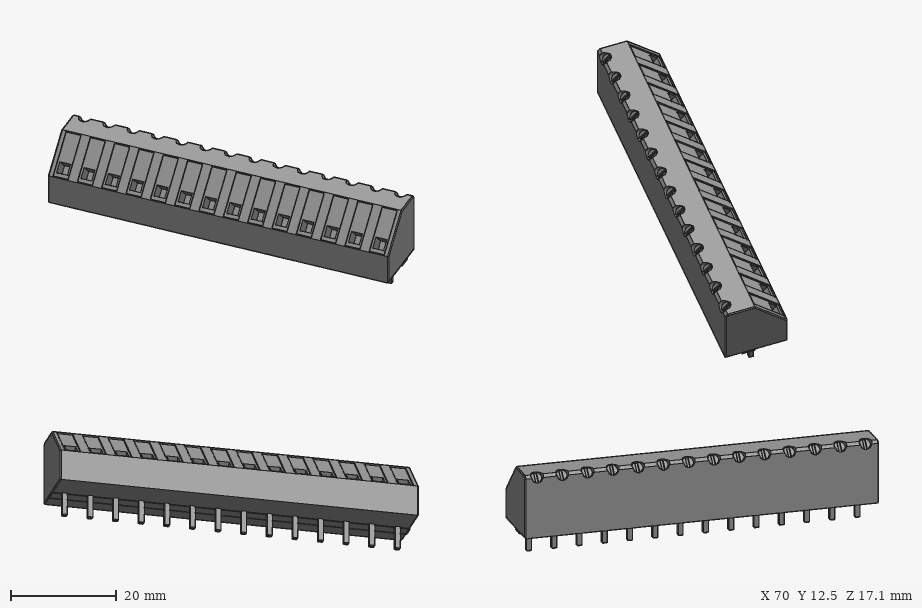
import cadquery as cq
import math

length = 70.0
depth = 12.5
total_height = 17.1
pole_count = 14
pitch = length / pole_count
pin_drop = 4.55
foot_height = 0.15
body_height = total_height - pin_drop
slope_drop = 6.5
end_chamfer = 0.2
back_chamfer = 0.55

front_y = -depth / 2
back_y = depth / 2
slope_center = (0, front_y + slope_drop / 2, body_height - slope_drop / 2)
slope_length = slope_drop * math.sqrt(2)

channel_width = 3.1
channel_depth = 0.3
channel_end_gap = 0.2
window_width = 2.25
window_height = 2.2
window_depth = 3.5
window_offset = 2.5

screw_hole_diameter = 2.45
screw_diameter = 2.2
screw_hole_depth = 1.75
screw_recess = 0.85
screw_shift = 0.15
screw_slot_width = 0.55
screw_slot_depth = 0.4

pin_width = 1.0
pin_thickness = 0.85
pin_chamfer = 0.175
pin_y = back_y - 5.95
pin_overlap = 0.7
foot_width = 2.65
foot_y = back_y - 4.7


def points_at_poles(offset):
    """Sketch points spaced along the housing, one per pole, at the given second coordinate."""
    return [((i - (pole_count - 1) / 2) * pitch, offset) for i in range(pole_count)]


def make_housing():
    body = (
        cq.Workplane("YZ")
        .moveTo(front_y, 0)
        .lineTo(back_y, 0)
        .lineTo(back_y, body_height - back_chamfer)
        .lineTo(back_y - back_chamfer, body_height)
        .lineTo(front_y + slope_drop, body_height)
        .lineTo(front_y, body_height - slope_drop)
        .close()
        .extrude(length / 2, both=True)
    )
    return body.faces("<X or >X").chamfer(end_chamfer)


def pole_boxes(plane, sketch_offset, width, height, reach):
    """Boxes of the given section at every pole, extruded along the plane normal."""
    points = points_at_poles(sketch_offset)
    return cq.Workplane(plane).pushPoints(points).rect(width, height).extrude(reach)


def cut_slope(body):
    plane = cq.Plane(origin=slope_center, xDir=(1, 0, 0), normal=(0, -1, 1))
    channel_length = slope_length - 2 * channel_end_gap
    channels = pole_boxes(plane, 0, channel_width, channel_length, -channel_depth)
    windows = pole_boxes(plane, -window_offset, window_width, window_height, -window_depth)
    return body.cut(channels).cut(windows)


def fit_screws(body):
    edge_middle = (0, back_y - back_chamfer / 2, body_height - back_chamfer / 2)
    plane = cq.Plane(origin=edge_middle, xDir=(1, 0, 0), normal=(0, 1, 1))
    points = points_at_poles(-screw_shift)
    holes = (
        cq.Workplane(plane)
        .workplane(offset=-screw_hole_depth)
        .pushPoints(points)
        .circle(screw_hole_diameter / 2)
        .extrude(screw_hole_depth + screw_hole_diameter)
    )
    screws = (
        cq.Workplane(plane)
        .workplane(offset=-screw_hole_depth)
        .pushPoints(points)
        .circle(screw_diameter / 2)
        .extrude(screw_hole_depth - screw_recess)
    )
    slots = (
        cq.Workplane(plane)
        .workplane(offset=-screw_recess)
        .pushPoints(points)
        .rect(screw_slot_width, screw_hole_diameter)
        .extrude(-screw_slot_depth)
    )
    return body.cut(holes).union(screws.cut(slots))


def add_underside(body):
    foot = cq.Workplane("XY").center(0, foot_y).rect(length, foot_width).extrude(-foot_height)
    points = points_at_poles(pin_y)
    pins = (
        cq.Workplane("XY")
        .workplane(offset=pin_overlap)
        .pushPoints(points)
        .rect(pin_width, pin_thickness)
        .extrude(-pin_overlap - pin_drop)
        .faces("<Z")
        .chamfer(pin_chamfer)
    )
    return body.union(foot).union(pins)


result = add_underside(fit_screws(cut_slope(make_housing())))